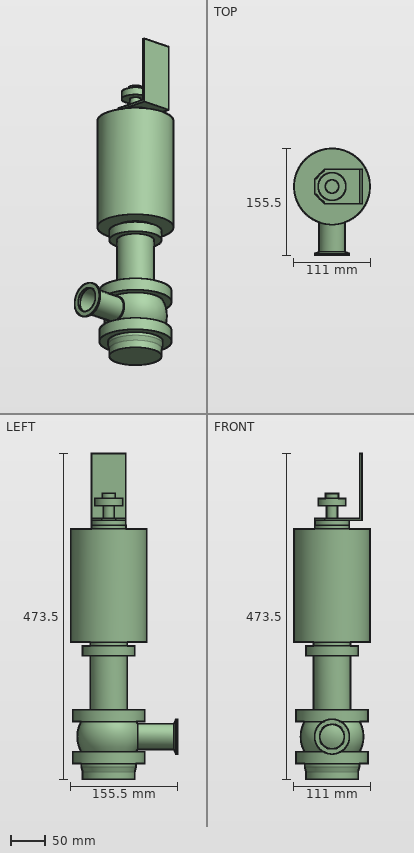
import cadquery as cq

foot_top = 11.5
taper_top = 18.5
lower_flange_bottom = 22.5
lower_flange_top = 40.3
upper_flange_bottom = 84.0
upper_flange_top = 101.5
collar_bottom = 179.5
collar_top = 193.5
actuator_bottom = 199.5
actuator_top = 363.5
boss_step = 369.0
bracket_bottom = 376.0
bracket_thickness = 3.55
knob_bottom = 397.5
knob_top = 408.0
rod_top = 415.5
total_height = 473.5

foot_diameter = 76.2
taper_diameter = 80.0
flange_diameter = 105.0
ball_diameter = 92.0
neck_diameter = 54.0
collar_diameter = 76.2
actuator_diameter = 111.0
boss_lower_diameter = 50.5
boss_upper_diameter = 50.0
rod_diameter = 16.0
knob_diameter = 40.3
rod_head_diameter = 19.5

ball_height = (lower_flange_top + upper_flange_bottom) / 2
pipe_reach = 100.0
pipe_diameter = 38.0
bore_diameter = 35.5
ferrule_diameter = 50.5
ferrule_rim = 2.5
ferrule_taper = 3.0

bracket_width = boss_upper_diameter
bracket_left = -bracket_width / 2
bracket_right = 43.5
corner_clip = 14.5


def disc(diameter, bottom, top):
    """Cylinder on the valve axis between two heights."""
    return cq.Workplane("XY").workplane(offset=bottom).circle(diameter / 2).extrude(top - bottom)


def make_foot():
    """Bottom connection: straight foot, widening taper and a short shoulder."""
    taper = (
        cq.Workplane("XY")
        .workplane(offset=foot_top)
        .circle(foot_diameter / 2)
        .workplane(offset=taper_top - foot_top)
        .circle(taper_diameter / 2)
        .loft(ruled=True)
    )
    shoulder = disc(taper_diameter, taper_top, lower_flange_bottom)
    return disc(foot_diameter, 0, foot_top).union(taper).union(shoulder)


def make_ball():
    """Spherical chamber cut flat where it meets the two flanges."""
    ball = cq.Workplane("XY").sphere(ball_diameter / 2).translate((0, 0, ball_height))
    return ball.intersect(disc(flange_diameter, lower_flange_top, upper_flange_bottom))


def make_side_pipe():
    """Thin pipe with a tapered ferrule, revolved about its own axis."""
    pipe_radius = pipe_diameter / 2
    bore_radius = bore_diameter / 2
    ferrule_radius = ferrule_diameter / 2
    rim_back = pipe_reach - ferrule_rim
    profile = [
        (bore_radius, 0),
        (pipe_radius, 0),
        (pipe_radius, rim_back - ferrule_taper),
        (ferrule_radius, rim_back),
        (ferrule_radius, pipe_reach),
        (bore_radius, pipe_reach),
    ]
    pipe = cq.Workplane("XY").polyline(profile).close().revolve(360, (0, 0, 0), (0, 1, 0))
    return pipe.mirror("XZ").translate((0, 0, ball_height))


def make_valve():
    """Valve housing, actuator and position rod as one solid."""
    sections = [
        (flange_diameter, lower_flange_bottom, lower_flange_top),
        (flange_diameter, upper_flange_bottom, upper_flange_top),
        (neck_diameter, upper_flange_top, actuator_bottom),
        (collar_diameter, collar_bottom, collar_top),
        (actuator_diameter, actuator_bottom, actuator_top),
        (boss_lower_diameter, actuator_top, boss_step),
        (boss_upper_diameter, boss_step, bracket_bottom),
        (rod_diameter, bracket_bottom, knob_bottom),
        (knob_diameter, knob_bottom, knob_top),
        (rod_head_diameter, knob_top, rod_top),
    ]
    valve = make_foot().union(make_ball()).union(make_side_pipe())
    for diameter, bottom, top in sections:
        valve = valve.union(disc(diameter, bottom, top))
    return valve


def make_bracket():
    """L-shaped plate resting on the boss, with a hole for the rod."""
    plate_top = bracket_bottom + bracket_thickness
    profile = [
        (bracket_left, bracket_bottom),
        (bracket_right, bracket_bottom),
        (bracket_right, total_height),
        (bracket_right - bracket_thickness, total_height),
        (bracket_right - bracket_thickness, plate_top),
        (bracket_left, plate_top),
    ]
    bracket = cq.Workplane("XZ").polyline(profile).close().extrude(bracket_width / 2, both=True)
    bracket = bracket.edges("|Z").edges("<X").chamfer(corner_clip)
    return bracket.cut(disc(rod_diameter, bracket_bottom, plate_top))


valve = make_valve()
bracket = make_bracket()
result = cq.Compound.makeCompound([valve.val(), bracket.val()])